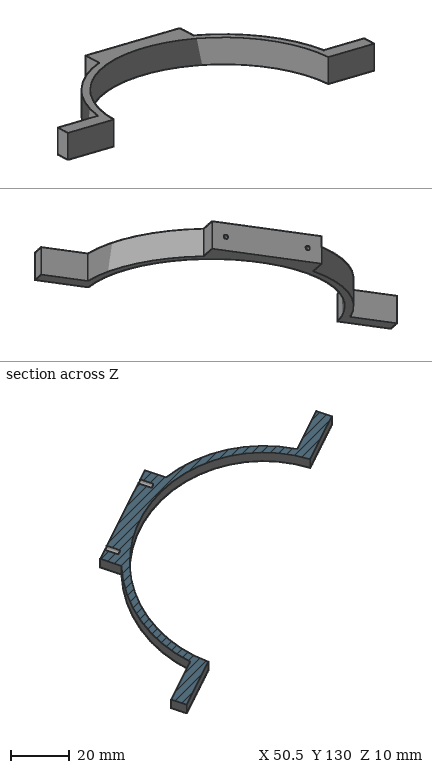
import cadquery as cq

overall_length = 130.0
height = 10.0
inner_radius = 45.5
wall = 3.0
outer_radius = inner_radius + wall
end_x = -1.5
ear_thickness = 5.8
pad_face_x = -52.0
pad_width = 40.0
hole_diameter = 1.5
hole_spacing = 29.9
hole_depth = 5.0


def box(x_min, x_max, width):
    """Full-height block, centred on Y and resting on Z = 0."""
    return (
        cq.Workplane("XY")
        .box(x_max - x_min, width, height, centered=(False, True, False))
        .translate((x_min, 0, 0))
    )


def cylinder(radius):
    return cq.Workplane("XY").circle(radius).extrude(height)


half_disc = cylinder(outer_radius).intersect(box(pad_face_x, end_x, overall_length))
ears = box(end_x - ear_thickness, end_x, overall_length)
pad = box(pad_face_x, end_x, pad_width)
body = half_disc.union(ears).union(pad).cut(cylinder(inner_radius))

holes = (
    cq.Workplane("YZ", origin=(pad_face_x, 0, height / 2))
    .pushPoints([(-hole_spacing / 2, 0), (hole_spacing / 2, 0)])
    .circle(hole_diameter / 2)
    .extrude(hole_depth)
)

result = body.cut(holes)